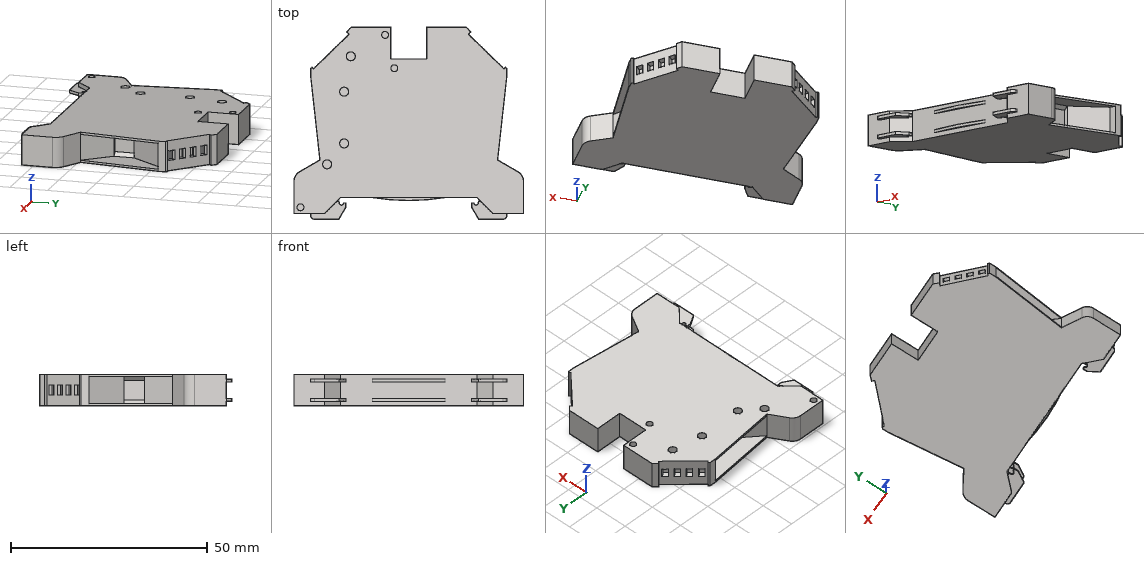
import cadquery as cq
import math

WIDTH = 58.6
THICKNESS = 8.0
TOP_Y = 47.6
HALF_WIDTH = WIDTH / 2

RECESS_HEIGHT = 4.1
RECESS_HALF_WIDTH = 17.4
FOOT_INNER_X = RECESS_HALF_WIDTH + RECESS_HEIGHT

WAIST_X = 22.7
WAIST_Y = 13.7
SHOULDER_ANGLE = 30.0
SHOULDER_RADIUS = 3.0
SHOULDER_Y = WAIST_Y - (HALF_WIDTH - WAIST_X) * math.tan(math.radians(SHOULDER_ANGLE))

FLANK_X = 25.0
FLANK_TOP_Y = 35.05

LIP_Y = 37.05
LIP_PEAK = (24.6, 37.4)
SLOPE_FOOT = (24.25, 37.0)
SLOPE_HEAD = (15.25, 45.75)
HOOK_TIP = (15.8, 46.35)
TOP_HALF_WIDTH = 14.65

NOTCH_HALF_WIDTH = 4.6
NOTCH_FLOOR_Y = 39.5

HOLE_DEPTH = 2.0
SMALL_HOLE_DIAMETER = 1.75
SMALL_HOLES = [(-6.05, 45.6), (-3.7, 37.1), (-27.6, 1.65)]
LARGE_HOLE_DIAMETER = 2.3
LARGE_HOLES = [(-14.75, 40.15), (-16.45, 31.1), (-16.45, 17.95), (-20.8, 12.6)]

POCKET_WALL = 0.6
POCKET_LEDGE_X = 23.15
WELL_MOUTH_X = 16.7
WELL_TOP_Y = 26.15
WELL_BOTTOM_Y = 20.8
WELL_DEPTH = 1.1
WELL_TAPER = 0.95

SLOT_COUNT = 4
SLOT_PITCH = 3.1
SLOT_START = 0.75
SLOT_MOUTH = 1.7
SLOT_DEPTH = 1.45
SLOT_LEAD_IN = 0.3
SLOT_LEAD_DEPTH = 0.8
SLOT_WIDTH = 2.5

LAYER_INSET = 1.2
LAYER_THICKNESS = 0.75
LAYER_BASES = [LAYER_INSET, THICKNESS - LAYER_INSET - LAYER_THICKNESS]
CLIP_DROP = 1.4
CLIP_CORNER_RADIUS = 0.95
CLIP_TOE_X = 17.8
CLIP_TIP_X = 16.05
CLIP_TIP_LOW_Y = 1.6
CLIP_TIP_Y = 2.75
CLIP_NOTCH_START_X = 16.65
CLIP_NOTCH_FLOOR = (17.15, 2.2)
CLIP_NOTCH_END = (17.7, 2.9)
CLIP_HEAD_Y = 3.2
SPRING_HALF_LENGTH = 9.25
SPRING_SAG = 0.75


def with_mirror(body):
    return body.union(body.mirror("YZ"))


def mirrored(point):
    return (-point[0], point[1])


def make_housing():
    right_side = [
        (RECESS_HALF_WIDTH, RECESS_HEIGHT),
        (FOOT_INNER_X, 0),
        (HALF_WIDTH, 0),
        (HALF_WIDTH, SHOULDER_Y),
        (WAIST_X, WAIST_Y),
        (FLANK_X, FLANK_TOP_Y),
        (FLANK_X, LIP_Y),
        LIP_PEAK,
        SLOPE_FOOT,
        SLOPE_HEAD,
        HOOK_TIP,
        (TOP_HALF_WIDTH, TOP_Y),
        (NOTCH_HALF_WIDTH, TOP_Y),
        (NOTCH_HALF_WIDTH, NOTCH_FLOOR_Y),
    ]
    left_side = [mirrored(point) for point in reversed(right_side)]
    plate = cq.Workplane("XY").polyline(right_side + left_side).close().extrude(THICKNESS)
    for side in (-1, 1):
        corner = cq.selectors.NearestToPointSelector((side * HALF_WIDTH, SHOULDER_Y, THICKNESS / 2))
        plate = plate.edges("|Z").edges(corner).fillet(SHOULDER_RADIUS)
    return plate


def make_holes():
    hole_floor = cq.Workplane("XY", origin=(0, 0, THICKNESS - HOLE_DEPTH))
    small = hole_floor.pushPoints(SMALL_HOLES).circle(SMALL_HOLE_DIAMETER / 2).extrude(HOLE_DEPTH)
    large = hole_floor.pushPoints(LARGE_HOLES).circle(LARGE_HOLE_DIAMETER / 2).extrude(HOLE_DEPTH)
    return small.union(large)


def make_right_pocket():
    pocket_height = THICKNESS - 2 * POCKET_WALL
    funnel = (
        cq.Workplane("XY", origin=(0, 0, POCKET_WALL))
        .polyline(
            [
                (FLANK_X, FLANK_TOP_Y),
                (POCKET_LEDGE_X, FLANK_TOP_Y),
                (WELL_MOUTH_X, WELL_TOP_Y),
                (WELL_MOUTH_X, WELL_BOTTOM_Y),
                (WAIST_X, WAIST_Y),
            ]
        )
        .close()
        .extrude(pocket_height)
    )
    well_floor_x = WELL_MOUTH_X - WELL_DEPTH
    low_z = POCKET_WALL
    high_z = THICKNESS - POCKET_WALL
    well = (
        cq.Workplane("XZ", origin=(0, WELL_TOP_Y, 0))
        .polyline(
            [
                (WELL_MOUTH_X, low_z),
                (WELL_MOUTH_X, high_z),
                (well_floor_x, high_z - WELL_TAPER),
                (well_floor_x, low_z + WELL_TAPER),
            ]
        )
        .close()
        .extrude(WELL_TOP_Y - WELL_BOTTOM_Y)
    )
    return funnel.union(well)


def make_right_slots():
    run = SLOPE_FOOT[0] - SLOPE_HEAD[0]
    fall = SLOPE_FOOT[1] - SLOPE_HEAD[1]
    length = math.hypot(run, fall)
    along = (run / length, fall / length)
    inward = (along[1], -along[0])

    def on_slope(distance, depth):
        x = SLOPE_HEAD[0] + distance * along[0] + depth * inward[0]
        y = SLOPE_HEAD[1] + distance * along[1] + depth * inward[1]
        return (x, y)

    slots = cq.Workplane("XY")
    for index in range(SLOT_COUNT):
        start = SLOT_START + index * SLOT_PITCH
        outline = [
            on_slope(start, 0),
            on_slope(start + SLOT_MOUTH, 0),
            on_slope(start + SLOT_MOUTH, SLOT_DEPTH),
            on_slope(start + SLOT_LEAD_IN, SLOT_DEPTH),
            on_slope(start + SLOT_LEAD_IN, SLOT_LEAD_DEPTH),
        ]
        base = cq.Workplane("XY", origin=(0, 0, (THICKNESS - SLOT_WIDTH) / 2))
        slots = slots.add(base.polyline(outline).close().extrude(SLOT_WIDTH))
    return slots.combine()


def make_right_clip(base_z):
    head_x = FOOT_INNER_X - CLIP_HEAD_Y
    clip = (
        cq.Workplane("XY", origin=(0, 0, base_z))
        .moveTo(FOOT_INNER_X, 0)
        .lineTo(FLANK_X, 0)
        .lineTo(FLANK_X, -CLIP_DROP)
        .lineTo(CLIP_TOE_X, -CLIP_DROP)
        .lineTo(CLIP_TIP_X, CLIP_TIP_LOW_Y)
        .lineTo(CLIP_TIP_X, CLIP_TIP_Y)
        .lineTo(CLIP_NOTCH_START_X, CLIP_TIP_Y)
        .threePointArc(CLIP_NOTCH_FLOOR, CLIP_NOTCH_END)
        .lineTo(CLIP_TOE_X, CLIP_HEAD_Y)
        .lineTo(head_x, CLIP_HEAD_Y)
        .close()
        .extrude(LAYER_THICKNESS)
    )
    corner = cq.selectors.NearestToPointSelector((FLANK_X, -CLIP_DROP, base_z))
    return clip.edges("|Z").edges(corner).fillet(CLIP_CORNER_RADIUS)


def make_spring(base_z):
    return (
        cq.Workplane("XY", origin=(0, 0, base_z))
        .moveTo(-SPRING_HALF_LENGTH, RECESS_HEIGHT)
        .threePointArc((0, RECESS_HEIGHT - SPRING_SAG), (SPRING_HALF_LENGTH, RECESS_HEIGHT))
        .close()
        .extrude(LAYER_THICKNESS)
    )


result = make_housing()
result = result.cut(make_holes())
result = result.cut(with_mirror(make_right_pocket()))
result = result.cut(with_mirror(make_right_slots()))
for layer_z in LAYER_BASES:
    result = result.union(with_mirror(make_right_clip(layer_z)))
    result = result.union(make_spring(layer_z))